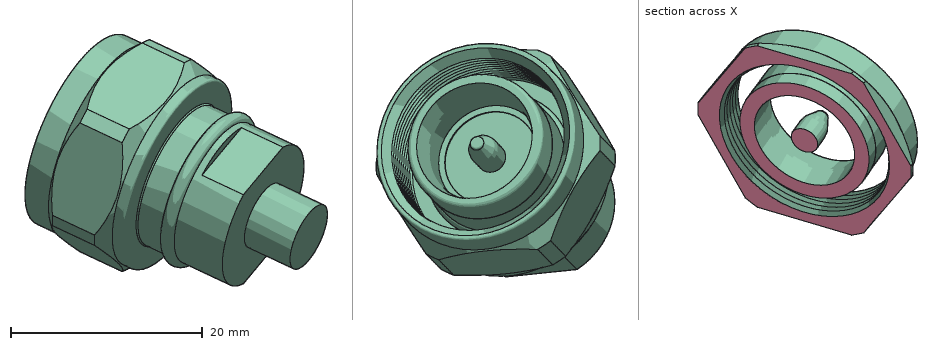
import cadquery as cq
import math

length = 28.6

nut_start = 0.37
nut_end = 12.47
nut_radius = 10.87
nut_edge_round = 0.3
hex_start = 3.4
hex_end = 11.25
hex_across_flats = 22.0
hex_corner_radius = 12.255
hex_crown_start = 4.75
hex_crown_end = 9.92

mouth_radius = 10.3
thread_minor_radius = 9.45
thread_major_radius = 10.05
thread_pitch = 0.7
thread_count = 9
mouth_floor = 8.38

sleeve_radius = 7.4
sleeve_edge_round = 0.55
neck_start = 3.52
neck_radius = 7.45
gasket_outer_radius = 7.9
gasket_wire_radius = 0.77
bore_mouth_radius = 6.32
bore_neck_radius = 5.78
bore_radius = 5.72
bore_neck_start = 2.3
bore_neck_end = 2.72
bore_floor = 5.7
recess_radius = 5.05
recess_depth = 0.17

pin_tip = 0.7
pin_radius = 1.55
pin_tip_radius = 0.75
pin_tip_round = 0.23
pin_cone_end = 2.52
pin_cylinder_start = 3.25
pin_cone_end_radius = 1.43

body_radius = 8.05
collar_radius = 8.15
collar_end = 12.65
body_end = 23.0
stub_radius = 3.7
seal_center = 16.3
seal_outer_radius = 8.78
seal_wire_radius = 0.786
flat_start = 17.9
flat_half_height = 7.04


def revolve_about_x(profile):
    """Turn a closed XY profile, drawn as (X, radius), about the X axis."""
    return profile.close().revolve(360, (0, 0, 0), (1, 0, 0))


def cylinder(start, end, radius):
    return cq.Workplane("YZ", origin=(start, 0, 0)).circle(radius).extrude(end - start)


def make_ring(center_x, outer_radius, wire_radius):
    """Round-section ring about the X axis."""
    wire_center_radius = outer_radius - wire_radius
    return (
        cq.Workplane("XY")
        .center(center_x, wire_center_radius)
        .circle(wire_radius)
        .revolve(360, (0, -wire_center_radius, 0), (1, -wire_center_radius, 0))
    )


def make_nut():
    barrel = cylinder(nut_start, nut_end, nut_radius)
    barrel = barrel.faces("<X or >X").edges().fillet(nut_edge_round)

    hexagon = (
        cq.Workplane("YZ", origin=(hex_start, 0, 0))
        .polygon(6, hex_across_flats / math.cos(math.pi / 6))
        .extrude(hex_end - hex_start)
    )
    crown = revolve_about_x(
        cq.Workplane("XY")
        .moveTo(hex_start, 0)
        .lineTo(hex_start, nut_radius)
        .lineTo(hex_crown_start, hex_corner_radius)
        .lineTo(hex_crown_end, hex_corner_radius)
        .lineTo(hex_end, nut_radius)
        .lineTo(hex_end, 0)
    )
    return barrel.union(hexagon.intersect(crown))


def make_mouth():
    """Hollow of the nut: lead-in cone, ring-shaped thread grooves, runout."""
    thread_start = nut_start + mouth_radius - thread_minor_radius
    profile = (
        cq.Workplane("XY")
        .moveTo(nut_start, 0)
        .lineTo(nut_start, mouth_radius)
        .lineTo(thread_start, thread_minor_radius)
    )
    for i in range(thread_count):
        groove_start = thread_start + i * thread_pitch
        profile = profile.lineTo(groove_start + thread_pitch / 2, thread_major_radius)
        profile = profile.lineTo(groove_start + thread_pitch, thread_minor_radius)
    runout_root = thread_start + (thread_count + 0.5) * thread_pitch
    profile = profile.lineTo(runout_root, thread_major_radius)
    profile = profile.lineTo(mouth_floor, thread_minor_radius)
    profile = profile.lineTo(mouth_floor, 0)
    return revolve_about_x(profile)


def make_sleeve():
    outer = revolve_about_x(
        cq.Workplane("XY")
        .moveTo(0, 0)
        .lineTo(0, sleeve_radius - sleeve_edge_round)
        .radiusArc((sleeve_edge_round, sleeve_radius), sleeve_edge_round)
        .lineTo(neck_start, sleeve_radius)
        .lineTo(neck_start, neck_radius)
        .lineTo(nut_end, neck_radius)
        .lineTo(nut_end, 0)
    )
    gasket = make_ring(mouth_floor, gasket_outer_radius, gasket_wire_radius)
    bore = revolve_about_x(
        cq.Workplane("XY")
        .moveTo(0, 0)
        .lineTo(0, bore_mouth_radius)
        .lineTo(bore_neck_start, bore_neck_radius)
        .lineTo(bore_neck_end, bore_radius)
        .lineTo(bore_floor, bore_radius)
        .lineTo(bore_floor, recess_radius)
        .lineTo(bore_floor + recess_depth, recess_radius)
        .lineTo(bore_floor + recess_depth, 0)
    )
    return outer.union(gasket).cut(bore)


def make_pin():
    return revolve_about_x(
        cq.Workplane("XY")
        .moveTo(pin_tip, 0)
        .lineTo(pin_tip, pin_tip_radius - pin_tip_round)
        .radiusArc((pin_tip + pin_tip_round, pin_tip_radius), pin_tip_round)
        .lineTo(pin_cone_end, pin_cone_end_radius)
        .lineTo(pin_cylinder_start, pin_radius)
        .lineTo(nut_end, pin_radius)
        .lineTo(nut_end, 0)
    )


def make_body():
    body = cylinder(nut_end, body_end, body_radius)
    for side in (1, -1):
        cutter_center_z = side * (flat_half_height + body_radius / 2)
        cutter = cq.Workplane("XY", origin=(flat_start, 0, cutter_center_z)).box(
            body_end - flat_start, 2 * body_radius, body_radius, centered=(False, True, True)
        )
        body = body.cut(cutter)

    collar = revolve_about_x(
        cq.Workplane("XY")
        .moveTo(nut_end, 0)
        .lineTo(nut_end, collar_radius)
        .lineTo(collar_end, body_radius)
        .lineTo(collar_end, 0)
    )
    seal_ring = make_ring(seal_center, seal_outer_radius, seal_wire_radius)
    stub = cylinder(body_end, length, stub_radius)
    return body.union(collar).union(seal_ring).union(stub)


result = make_nut().cut(make_mouth())
for part in (make_sleeve(), make_pin(), make_body()):
    result = result.union(part)